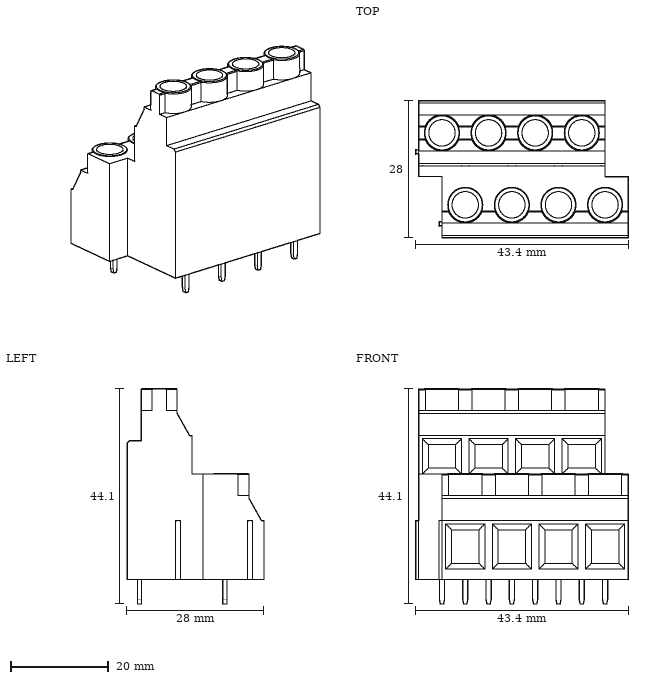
import cadquery as cq

POLES = 4
PITCH = 9.52
TIER_WIDTH = POLES * PITCH
TIER_SHIFT = PITCH / 2
FRONT_LEFT = 0.0
REAR_LEFT = FRONT_LEFT - TIER_SHIFT

DEPTH = 28.0
STEP_Y = 12.5
REAR_FACE_Y = 14.7
TIER_RISE = 17.4
ROOF_Z = 21.6
WEB_EDGE = 0.2
BACK_STEP_Z = 28.4
BACK_BEVEL = 0.5

LIP_Z = 12.05
LIP_DEPTH = 0.5
SLOPE_TOP_Z = 16.6
LEDGE_Y = 3.05
LEDGE_Z = 17.2

CUP_RADIUS = 3.68
CUP_CENTER = LEDGE_Y + CUP_RADIUS
CUP_TOP_Z = 21.7
CUP_RIM_BEVEL = 0.2
CUP_BORE_RADIUS = 2.7
CUP_BORE_DEPTH = 3.0
WEB_THICKNESS = 2.9
WEB_FRONT = CUP_CENTER - WEB_THICKNESS / 2

ENTRY_WIDTH = 8.0
ENTRY_DEPTH = 2.05
ENTRY_TAPER = 1.2
ENTRY_TOP_GAP = 0.65
FRONT_ENTRY_BOTTOM = 2.15

KEY_REACH = 0.6
KEY_HEIGHT = LIP_Z
KEY_ROOT_WIDTH = 0.7
KEY_TIP_WIDTH = 1.0
KEY_Y = 2.85

PIN_WIDTH = 1.1
PIN_THICKNESS = 0.9
PIN_LENGTH = 5.0
PIN_TIP_WIDTH = 0.7
PIN_TIP_LENGTH = 1.0
FRONT_PIN_Y = 8.0
REAR_PIN_Y = 25.45


def pole_centers(left):
    return [left + (pole + 0.5) * PITCH for pole in range(POLES)]


def front_slope(face_y, rise):
    """Points from the lip of a tier up to the front top edge of its web."""
    web_top = ROOF_Z + rise
    web_y = face_y + WEB_FRONT
    return [
        (face_y, LIP_Z + rise),
        (face_y + LIP_DEPTH, LIP_Z + rise),
        (face_y + LEDGE_Y, SLOPE_TOP_Z + rise),
        (face_y + LEDGE_Y, LEDGE_Z + rise),
        (web_y, LEDGE_Z + rise),
        (web_y, web_top - WEB_EDGE),
        (web_y + WEB_EDGE, web_top),
    ]


def extrude_along_x(points, left):
    section = cq.Workplane("YZ", origin=(left, 0, 0)).polyline(points).close()
    return section.extrude(TIER_WIDTH)


def front_tier():
    points = [(0, 0)] + front_slope(0, 0) + [(STEP_Y, ROOF_Z), (STEP_Y, 0)]
    return extrude_along_x(points, FRONT_LEFT)


def rear_tier():
    web_back = REAR_FACE_Y + WEB_FRONT + WEB_THICKNESS
    web_top = ROOF_Z + TIER_RISE
    ledge_back = REAR_FACE_Y + CUP_CENTER + CUP_RADIUS
    points = [(STEP_Y, 0), (STEP_Y, ROOF_Z), (REAR_FACE_Y, ROOF_Z)]
    points += front_slope(REAR_FACE_Y, TIER_RISE)
    points += [
        (web_back - WEB_EDGE, web_top),
        (web_back, web_top - WEB_EDGE),
        (web_back, LEDGE_Z + TIER_RISE),
        (ledge_back, LEDGE_Z + TIER_RISE),
        (ledge_back, BACK_STEP_Z),
        (DEPTH - BACK_BEVEL, BACK_STEP_Z),
        (DEPTH, BACK_STEP_Z - BACK_BEVEL),
        (DEPTH, 0),
    ]
    return extrude_along_x(points, REAR_LEFT)


def cup(x, face_y, rise):
    base = cq.Workplane(origin=(x, face_y + CUP_CENTER, LEDGE_Z + rise))
    return base.circle(CUP_RADIUS).extrude(CUP_TOP_Z - LEDGE_Z).faces(">Z").chamfer(CUP_RIM_BEVEL)


def cup_bore(x, face_y, rise):
    floor = cq.Workplane(origin=(x, face_y + CUP_CENTER, CUP_TOP_Z + rise - CUP_BORE_DEPTH))
    return floor.circle(CUP_BORE_RADIUS).extrude(CUP_BORE_DEPTH)


def wire_entry(x, face_y, bottom, rise):
    height = LIP_Z + rise - ENTRY_TOP_GAP - bottom
    mouth = cq.Workplane("XZ", origin=(x, face_y, bottom + height / 2)).rect(ENTRY_WIDTH, height)
    floor = mouth.workplane(offset=-ENTRY_DEPTH)
    return floor.rect(ENTRY_WIDTH - 2 * ENTRY_TAPER, height - 2 * ENTRY_TAPER).loft(ruled=True)


def key(left, center_y):
    tip_x = left - KEY_REACH
    points = [
        (left, center_y - KEY_ROOT_WIDTH / 2),
        (tip_x, center_y - KEY_TIP_WIDTH / 2),
        (tip_x, center_y + KEY_TIP_WIDTH / 2),
        (left, center_y + KEY_ROOT_WIDTH / 2),
    ]
    return cq.Workplane().polyline(points).close().extrude(KEY_HEIGHT)


def build_housing():
    housing = front_tier().union(rear_tier())
    housing = housing.union(key(FRONT_LEFT, KEY_Y)).union(key(REAR_LEFT, REAR_FACE_Y + KEY_Y))
    tiers = [
        (FRONT_LEFT, 0, FRONT_ENTRY_BOTTOM, 0),
        (REAR_LEFT, REAR_FACE_Y, ROOF_Z, TIER_RISE),
    ]
    for left, face_y, entry_bottom, rise in tiers:
        for x in pole_centers(left):
            housing = housing.union(cup(x, face_y, rise))
            housing = housing.cut(cup_bore(x, face_y, rise))
            housing = housing.cut(wire_entry(x, face_y, entry_bottom, rise))
    return housing


def build_pin(x, y):
    """Flat pin hanging from the base, narrowed across X at its tip."""
    shoulder_z = PIN_TIP_LENGTH - PIN_LENGTH
    points = [
        (x - PIN_WIDTH / 2, 0),
        (x - PIN_WIDTH / 2, shoulder_z),
        (x - PIN_TIP_WIDTH / 2, -PIN_LENGTH),
        (x + PIN_TIP_WIDTH / 2, -PIN_LENGTH),
        (x + PIN_WIDTH / 2, shoulder_z),
        (x + PIN_WIDTH / 2, 0),
    ]
    profile = cq.Workplane("XZ", origin=(0, y, 0)).polyline(points).close()
    return profile.extrude(PIN_THICKNESS / 2, both=True)


housing = build_housing()
pins = []
for left, pin_y in [(FRONT_LEFT, FRONT_PIN_Y), (REAR_LEFT, REAR_PIN_Y)]:
    for x in pole_centers(left):
        pins.append(build_pin(x, pin_y))

result = cq.Compound.makeCompound([housing.val()] + [pin.val() for pin in pins])